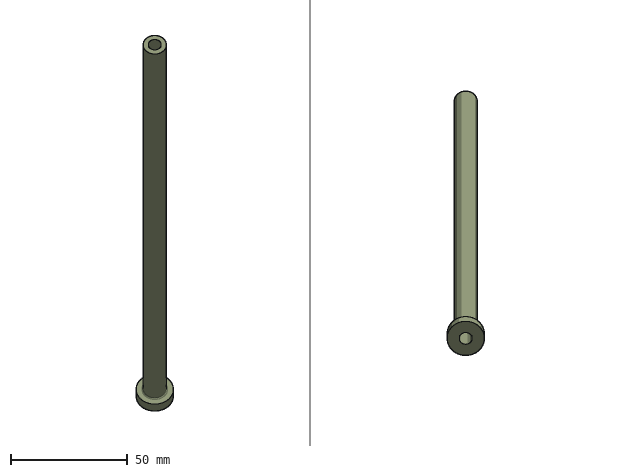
import cadquery as cq

total_length = 250.0
head_diameter = 16.0
head_height = 5.0
shaft_diameter = 10.0
bore_diameter = 5.5
neck_fillet = 0.5

head_radius = head_diameter / 2
shaft_radius = shaft_diameter / 2


def sleeve_body():
    """Solid head and shaft, with a concave fillet where they meet."""
    profile = (
        cq.Workplane("XZ")
        .lineTo(head_radius, 0)
        .lineTo(head_radius, head_height)
        .lineTo(shaft_radius + neck_fillet, head_height)
        .radiusArc((shaft_radius, head_height + neck_fillet), neck_fillet)
        .lineTo(shaft_radius, total_length)
        .lineTo(0, total_length)
        .close()
    )
    return profile.revolve(360, (0, 0), (0, 1))


bore = cq.Workplane("XY").circle(bore_diameter / 2).extrude(total_length)

result = sleeve_body().cut(bore)